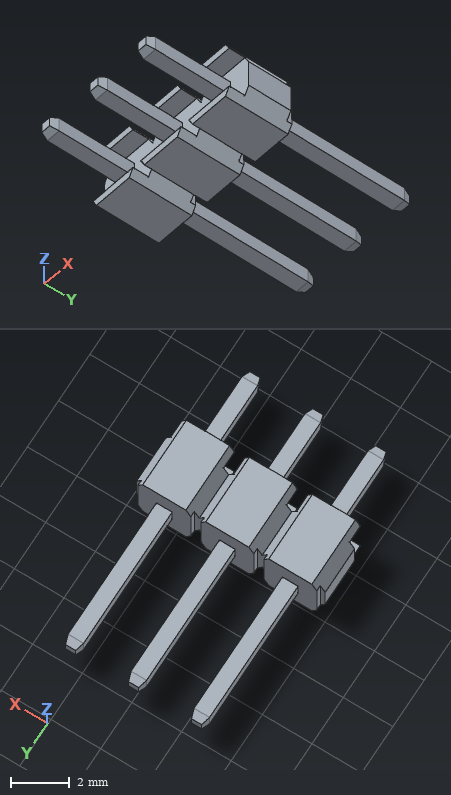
import cadquery as cq
import math

pin_count = 3
pitch = 2.54

body_height = pitch
body_length = 2.8
corner_run = 0.4
corner_angle = 60.0
corner_drop = corner_run * math.tan(math.radians(corner_angle))
lip_thickness = 0.345
front_recess_depth = 0.7
rear_recess_depth = 0.22

pin_width = 0.635
front_pin_length = 3.0
rear_pin_length = 6.0
tip_length = 0.335
tip_width = 0.42

body_front = -body_length / 2
body_rear = body_length / 2
pin_front = body_front - front_pin_length
pin_rear = body_rear + rear_pin_length
recess_height = body_height - 2 * lip_thickness
lip_half_width = pitch / 2 - corner_run * (1 - lip_thickness / corner_drop)


def box_between(width, y_start, y_end, height):
    """Box centred on X and Z that spans y_start to y_end."""
    return cq.Workplane("XY").box(width, y_end - y_start, height).translate((0, (y_start + y_end) / 2, 0))


def make_cell():
    """One chamfered body cell, recessed between its top and bottom lips."""
    half_width = pitch / 2
    half_height = body_height / 2
    flat_half_width = half_width - corner_run
    side_half_height = half_height - corner_drop
    cell = (
        cq.Workplane("XZ", origin=(0, body_rear, 0))
        .moveTo(-half_width, -side_half_height)
        .lineTo(-half_width, side_half_height)
        .lineTo(-flat_half_width, half_height)
        .lineTo(flat_half_width, half_height)
        .lineTo(half_width, side_half_height)
        .lineTo(half_width, -side_half_height)
        .lineTo(flat_half_width, -half_height)
        .lineTo(-flat_half_width, -half_height)
        .close()
        .extrude(body_length)
    )
    front_recess = box_between(pitch, body_front, body_front + front_recess_depth, recess_height)
    rear_recess = box_between(pitch, body_rear - rear_recess_depth, body_rear, recess_height)
    rear_block = box_between(2 * lip_half_width, body_rear - rear_recess_depth, body_rear, recess_height)
    return cell.cut(front_recess).cut(rear_recess.cut(rear_block))


def make_tip(y_base, direction):
    """Tapered pin end that narrows from y_base; direction is +1 or -1 along Y."""
    base = cq.Workplane(cq.Plane(origin=(0, y_base, 0), xDir=(1, 0, 0), normal=(0, direction, 0)))
    return (
        base.rect(pin_width, pin_width)
        .workplane(offset=tip_length)
        .rect(tip_width, tip_width)
        .loft(ruled=True)
    )


def make_pin():
    """Square pin through the cell with a taper at both ends."""
    shank_front = pin_front + tip_length
    shank_rear = pin_rear - tip_length
    shank = box_between(pin_width, shank_front, shank_rear, pin_width)
    return shank.union(make_tip(shank_front, -1)).union(make_tip(shank_rear, 1))


def make_header():
    """Row of joined cells with one pin in each, centred on X."""
    contact = make_cell().union(make_pin())
    first_x = -(pin_count - 1) * pitch / 2
    header = contact.translate((first_x, 0, 0))
    for index in range(1, pin_count):
        header = header.union(contact.translate((first_x + index * pitch, 0, 0)))
    return header.clean()


result = make_header()